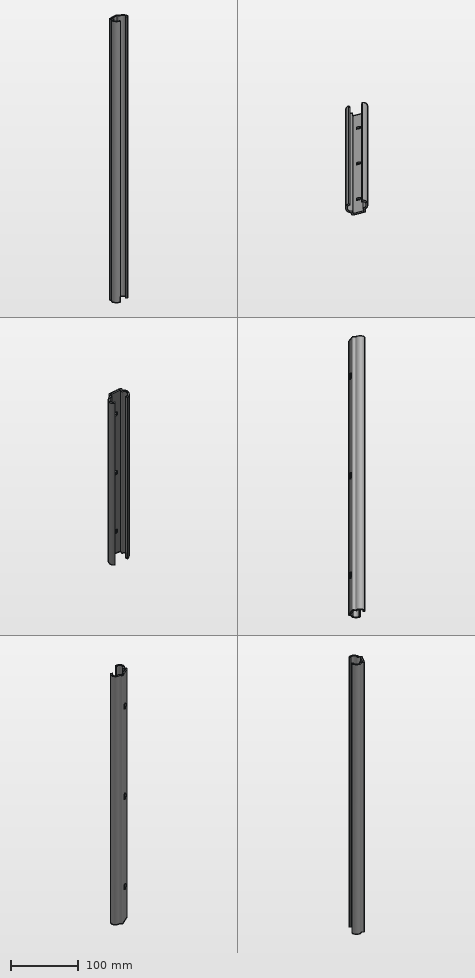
import cadquery as cq
import math

length = 440.0
width = 33.49
depth = 19.0
wall = 2.5

lobe_outer_radius = 7.25
lobe_inner_radius = lobe_outer_radius - wall
lobe_y = width / 2 - lobe_outer_radius
lip_outer_angle = math.radians(8.0)
lobe_x = depth - lobe_outer_radius * math.cos(lip_outer_angle)
lip_inner_angle = math.radians(-8.0)
lobe_top_angle = math.radians(90.0)

flange_outer_y = 10.75
flange_inner_y = flange_outer_y - wall
bend_outer_radius = 2.0
throat_radius = 0.75
neck_radius = 0.75

slot_width = 6.4
slot_height = 10.0
slot_pitch = 160.0
slot_count = 3


def lobe_point(radius, angle):
    """Point on a circle about the upper lobe centre."""
    return (lobe_x + radius * math.cos(angle), lobe_y + radius * math.sin(angle))


flange_angle = math.pi - math.asin((flange_outer_y - lobe_y) / lobe_outer_radius)
neck_x, neck_y = lobe_point(lobe_outer_radius, flange_angle)
throat_x = lobe_x - lobe_inner_radius


def half_section():
    """Section of the rail on the +Y side of its plane of symmetry."""
    return (
        cq.Workplane("XY")
        .lineTo(0, flange_outer_y)
        .lineTo(neck_x, neck_y)
        .threePointArc(
            lobe_point(lobe_outer_radius, lobe_top_angle),
            lobe_point(lobe_outer_radius, lip_outer_angle),
        )
        .lineTo(*lobe_point(lobe_inner_radius, lip_inner_angle))
        .threePointArc(lobe_point(lobe_inner_radius, lobe_top_angle), (throat_x, lobe_y))
        .lineTo(throat_x, flange_inner_y)
        .lineTo(wall, flange_inner_y)
        .lineTo(wall, 0)
        .close()
    )


def round_edge(body, radius, x, y):
    """Fillet the lengthwise edge passing through (x, y)."""
    edge = cq.selectors.NearestToPointSelector((x, y, length / 2))
    return body.edges("|Z").edges(edge).fillet(radius)


def mounting_slots():
    """Cutters for the upright slots, evenly spaced about mid-length."""
    return (
        cq.Workplane("YZ", origin=(0, 0, length / 2))
        .rarray(1, slot_pitch, 1, slot_count)
        .slot2D(slot_height, slot_width, 90)
        .extrude(wall)
    )


half = half_section().extrude(length)
half = round_edge(half, bend_outer_radius, 0, flange_outer_y)
half = round_edge(half, neck_radius, neck_x, neck_y)
half = round_edge(half, throat_radius, throat_x, flange_inner_y)
result = half.union(half.mirror("XZ")).cut(mounting_slots())